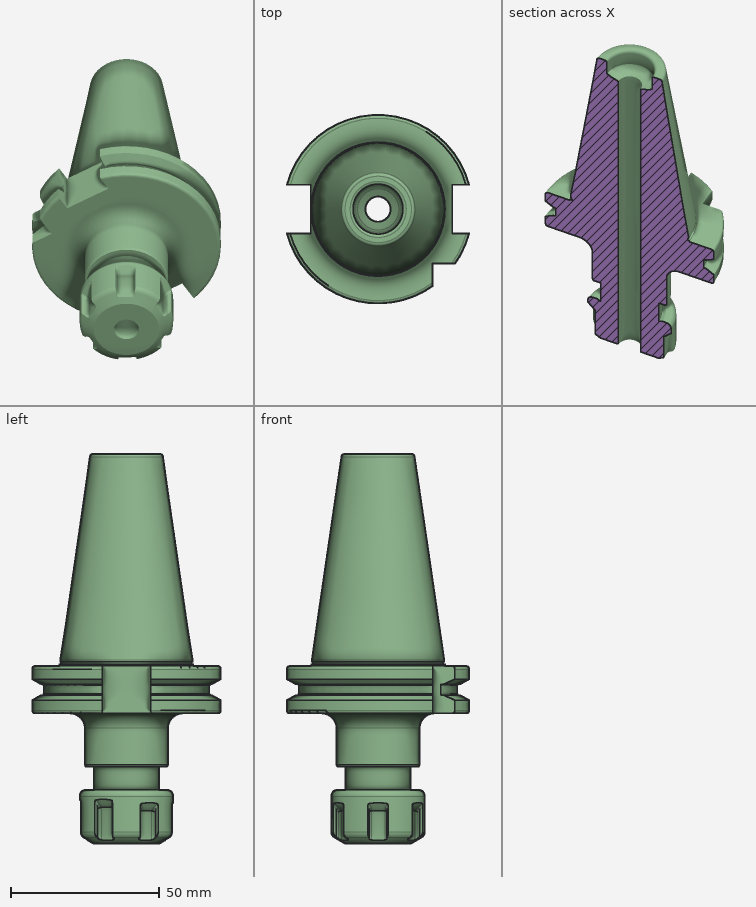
import cadquery as cq
import math

TOTAL_HEIGHT = 131.4
FULL_TURN = 360.0

TAPER_BASE_Z = 62.0
TAPER_BASE_RADIUS = 22.3
TAPER_SLOPE = 7 / 48
TAPER_TIP_ROUND = 1.2

COLLAR_FOOT_RADIUS = 22.6
COLLAR_FOOT_HEIGHT = 0.5
COLLAR_GROOVE_RADIUS = 22.1
COLLAR_GROOVE_HEIGHT = 0.8

FLANGE_RADIUS = 31.8
FLANGE_BOTTOM_Z = 43.9
FLANGE_TOP_Z = 59.9
FLANGE_ROUND = 1.0
V_GROOVE_CENTRE_Z = 51.9
V_GROOVE_FLOOR_RADIUS = 28.0
V_GROOVE_LEDGE_RADIUS = 28.8
V_GROOVE_INNER_HALF = 1.8
V_GROOVE_OUTER_HALF = 3.5
V_GROOVE_FLOOR_ROUND = 0.4

DRIVE_SLOT_WIDTH = 16.3
LEFT_SLOT_FLOOR_X = -22.7
RIGHT_SLOT_FLOOR_X = 25.1
CORNER_NOTCH_OFFSET = 18.4

BODY_RADIUS = 14.0
BODY_BOTTOM_Z = 25.9
BODY_CHAMFER_RADIAL = 0.4
BODY_CHAMFER_HEIGHT = 0.8
FLARE_RADIUS = 4.9
NECK_RADIUS = 11.0

NUT_RADIUS = 15.8
NUT_HEIGHT = 18.1
NUT_ROUND = 2.1
NUT_FACE_RADIUS = 11.0
NUT_CONE_ANGLE = 30.0
NUT_MOUTH_RADIUS = 12.4
NUT_MOUTH_DEPTH = 0.7

SLOT_COUNT = 6
SLOT_WIDTH = 6.0
SLOT_BREAK_START_RADIUS = 14.5
SLOT_BREAK_ANGLE = 25.0
SLOT_FLOOR_RADIUS = 13.0
SLOT_ROUND = 0.8
SHORT_SLOT_TOP_Z = 13.8
TALL_SLOT_TOP_Z = 15.0

CUTTER_OVERRUN = 1.3

THROUGH_BORE_RADIUS = 4.2
THREAD_BORE_RADIUS = 7.0
PILOT_BORE_RADIUS = 8.4
PILOT_DEPTH = 6.0
THREAD_DEPTH = 6.8
CONE_END_DEPTH = 7.8
PILOT_MOUTH_ROUND = 1.0


def make_shank():
    """Revolved taper, collar, flared body and neck, without the flange disc."""
    tip_radius = TAPER_BASE_RADIUS - (TOTAL_HEIGHT - TAPER_BASE_Z) * TAPER_SLOPE
    collar_foot_top = FLANGE_TOP_Z + COLLAR_FOOT_HEIGHT
    collar_groove_top = collar_foot_top + COLLAR_GROOVE_HEIGHT
    neck_bottom = NUT_HEIGHT - NUT_MOUTH_DEPTH
    flare_bottom = FLANGE_BOTTOM_Z - FLARE_RADIUS
    flare_end_radius = BODY_RADIUS + FLARE_RADIUS
    profile = (
        cq.Workplane("XZ")
        .moveTo(0, neck_bottom)
        .lineTo(NECK_RADIUS, neck_bottom)
        .lineTo(NECK_RADIUS, BODY_BOTTOM_Z)
        .lineTo(BODY_RADIUS - BODY_CHAMFER_RADIAL, BODY_BOTTOM_Z)
        .lineTo(BODY_RADIUS, BODY_BOTTOM_Z + BODY_CHAMFER_HEIGHT)
        .lineTo(BODY_RADIUS, flare_bottom)
        .radiusArc((flare_end_radius, FLANGE_BOTTOM_Z), FLARE_RADIUS)
        .lineTo(COLLAR_FOOT_RADIUS, FLANGE_BOTTOM_Z)
        .lineTo(COLLAR_FOOT_RADIUS, collar_foot_top)
        .lineTo(COLLAR_GROOVE_RADIUS, collar_foot_top)
        .lineTo(COLLAR_GROOVE_RADIUS, collar_groove_top)
        .lineTo(TAPER_BASE_RADIUS, collar_groove_top)
        .lineTo(TAPER_BASE_RADIUS, TAPER_BASE_Z)
        .lineTo(tip_radius, TOTAL_HEIGHT)
        .lineTo(0, TOTAL_HEIGHT)
        .close()
    )
    return profile.revolve(FULL_TURN, (0, 0), (0, 1)).faces(">Z").edges().fillet(TAPER_TIP_ROUND)


def make_flange():
    """Round-edged disc with a V groove around its rim."""
    height = FLANGE_TOP_Z - FLANGE_BOTTOM_Z
    flange = (
        cq.Workplane("XY", origin=(0, 0, FLANGE_BOTTOM_Z))
        .circle(FLANGE_RADIUS)
        .extrude(height)
        .edges()
        .fillet(FLANGE_ROUND)
    )
    v_groove = (
        cq.Workplane("XZ", origin=(0, 0, V_GROOVE_CENTRE_Z))
        .moveTo(V_GROOVE_FLOOR_RADIUS, -V_GROOVE_INNER_HALF)
        .lineTo(V_GROOVE_LEDGE_RADIUS, -V_GROOVE_INNER_HALF)
        .lineTo(FLANGE_RADIUS, -V_GROOVE_OUTER_HALF)
        .lineTo(FLANGE_RADIUS, V_GROOVE_OUTER_HALF)
        .lineTo(V_GROOVE_LEDGE_RADIUS, V_GROOVE_INNER_HALF)
        .lineTo(V_GROOVE_FLOOR_RADIUS, V_GROOVE_INNER_HALF)
        .close()
        .revolve(FULL_TURN, (0, 0), (0, 1))
        .edges(cq.selectors.RadiusNthSelector(0))
        .fillet(V_GROOVE_FLOOR_ROUND)
    )
    return flange.cut(v_groove)


def flange_pocket(x_min, x_max, y_min, y_max):
    """Rectangular cutter through the full flange thickness."""
    return (
        cq.Workplane("XY", origin=(x_min, y_min, FLANGE_BOTTOM_Z))
        .rect(x_max - x_min, y_max - y_min, centered=False)
        .extrude(FLANGE_TOP_Z - FLANGE_BOTTOM_Z)
    )


def make_flange_cutouts():
    """Drive slots at -X and +X, and the notch in the +X -Y corner."""
    half_width = DRIVE_SLOT_WIDTH / 2
    left_slot = flange_pocket(-FLANGE_RADIUS, LEFT_SLOT_FLOOR_X, -half_width, half_width)
    right_slot = flange_pocket(RIGHT_SLOT_FLOOR_X, FLANGE_RADIUS, -half_width, half_width)
    notch = flange_pocket(CORNER_NOTCH_OFFSET, FLANGE_RADIUS, -FLANGE_RADIUS, -CORNER_NOTCH_OFFSET)
    return left_slot.union(right_slot).union(notch)


def make_wrench_slot(top_z, angle):
    """Cutter for one slot: open downward, 45 degree upper end, flared outer edges."""
    outer = NUT_RADIUS + CUTTER_OVERRUN
    floor_top = top_z - (NUT_RADIUS - SLOT_FLOOR_RADIUS)
    side_block = (
        cq.Workplane("XZ")
        .moveTo(SLOT_FLOOR_RADIUS, -CUTTER_OVERRUN)
        .lineTo(SLOT_FLOOR_RADIUS, floor_top)
        .lineTo(outer, floor_top + outer - SLOT_FLOOR_RADIUS)
        .lineTo(outer, -CUTTER_OVERRUN)
        .close()
        .extrude(NUT_RADIUS, both=True)
    )
    half_width = SLOT_WIDTH / 2
    break_rise = (outer - SLOT_BREAK_START_RADIUS) * math.tan(math.radians(SLOT_BREAK_ANGLE))
    half_plan = (
        cq.Workplane("XY", origin=(0, 0, -CUTTER_OVERRUN))
        .lineTo(0, half_width)
        .lineTo(SLOT_BREAK_START_RADIUS, half_width)
        .lineTo(outer, half_width + break_rise)
        .lineTo(outer, 0)
        .close()
        .extrude(NUT_HEIGHT + CUTTER_OVERRUN)
    )
    plan_block = half_plan.union(half_plan.mirror("XZ"))
    cutter = side_block.intersect(plan_block)
    floor_sides = cutter.faces("<X").edges("|Z")
    slope_sides = cutter.faces(">Z").edges("not |Y")
    cutter = floor_sides.add(slope_sides).fillet(SLOT_ROUND)
    return cutter.rotate((0, 0, 0), (0, 0, 1), angle)


def make_nut():
    """Rounded nut with a conical underside, countersunk mouth and wrench slots.

    The slots on the +Y half reach higher than those on the -Y half.
    """
    cone_rise = (NUT_RADIUS - NUT_FACE_RADIUS) * math.tan(math.radians(NUT_CONE_ANGLE))
    mouth_bottom = NUT_HEIGHT - NUT_MOUTH_DEPTH
    nut = (
        cq.Workplane("XZ")
        .lineTo(NUT_FACE_RADIUS, 0)
        .lineTo(NUT_RADIUS, cone_rise)
        .lineTo(NUT_RADIUS, NUT_HEIGHT)
        .lineTo(NUT_MOUTH_RADIUS, NUT_HEIGHT)
        .lineTo(NECK_RADIUS, mouth_bottom)
        .lineTo(0, mouth_bottom)
        .close()
        .revolve(FULL_TURN, (0, 0), (0, 1))
    )
    nut = nut.faces("%CYLINDER").edges("%CIRCLE").fillet(NUT_ROUND)
    pitch = FULL_TURN / SLOT_COUNT
    for index in range(SLOT_COUNT):
        angle = (index + 0.5) * pitch
        top_z = TALL_SLOT_TOP_Z if angle < FULL_TURN / 2 else SHORT_SLOT_TOP_Z
        nut = nut.cut(make_wrench_slot(top_z, angle))
    return nut


def make_bore():
    """Stepped bore from the tip, continuing as a through hole."""
    return (
        cq.Workplane("XZ")
        .lineTo(THROUGH_BORE_RADIUS, 0)
        .lineTo(THROUGH_BORE_RADIUS, TOTAL_HEIGHT - CONE_END_DEPTH)
        .lineTo(THREAD_BORE_RADIUS, TOTAL_HEIGHT - THREAD_DEPTH)
        .lineTo(PILOT_BORE_RADIUS, TOTAL_HEIGHT - PILOT_DEPTH)
        .lineTo(PILOT_BORE_RADIUS, TOTAL_HEIGHT)
        .lineTo(0, TOTAL_HEIGHT)
        .close()
        .revolve(FULL_TURN, (0, 0), (0, 1))
    )


holder = make_shank().union(make_flange()).cut(make_flange_cutouts()).union(make_nut())
holder = holder.cut(make_bore())
mouth = cq.selectors.RadiusNthSelector(0)
result = holder.faces(">Z").edges(mouth).fillet(PILOT_MOUTH_ROUND)